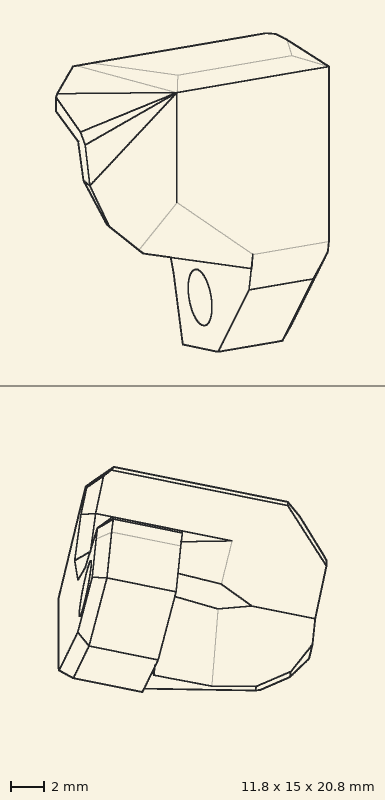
import cadquery as cq
import math

WIDTH = 11.83
DEPTH = 15.0
HEIGHT = 20.75
ARM_THICKNESS = 5.02
ARM_CHAMFER = 0.79
HOLE_DIAMETER = 3.4
HOLE_X = 4.28
HOLE_Z = 3.95
CUTTER_SIZE = 62.28
SIDE_SPACE = (3.11, -0.2, 14.53)

ARM_TOP_INNER = (4.98, 18.1)
ARM_ELBOW = (6.44, 15.53)
ARM_WAIST = (5.6, 10.67)
ARM_FOOT = (1.79, 0.0)
ARM_LOWER_RIGHT = (11.3, 7.0)
ARM_RIGHT = (WIDTH, 9.49)

LIP_X = 2.3
LIP_TOP_Z = 19.37
UNDERSIDE_LIP = (LIP_X, 18.77)
UNDERSIDE_CORNER = (8.5, 17.23)
WALL_INNER_LOW = (11.07, 9.7)
CREST_X = 9.28
SHOULDER = (3.67, 20.01)

APEX = (WIDTH, -10.03, HEIGHT)
FRONT_CREST = (CREST_X, -8.8, HEIGHT)
RIM_SIDE = (3.35, -12.79, 19.87)
RIM_LEFT = (5.2, -14.86, 19.08)
RIM_UPPER = (8.85, -DEPTH, 17.95)
RIM_KNEE = (9.53, -DEPTH, 17.38)
RIM_LOWER = (10.2, -DEPTH, 14.99)
RIM_CHIN = (10.57, -13.89, 12.3)
RIM_BOTTOM = (11.1, -11.92, 10.42)

RIB_STEP_Y = -5.6
RIB_END_Y = -9.13
TOP_RIB_OUTER = (5.45, RIB_STEP_Y, 17.25)
TOP_RIB_INNER = (7.18, RIB_STEP_Y, 16.84)
TOP_RIB_ROOT = (6.0, -ARM_THICKNESS, 16.3)
TOP_RIB_END = (ARM_TOP_INNER[0], RIB_END_Y, ARM_TOP_INNER[1])
WALL_RIB_UPPER = (8.26, RIB_STEP_Y, 15.86)
WALL_RIB_LOWER = (10.71, RIB_STEP_Y, 8.62)
WALL_RIB_ROOT = (7.35, -ARM_THICKNESS, 15.99)
WALL_RIB_END = (8.78, RIB_END_Y, 16.4)


def trim(solid, first, second, third, inside):
    """Keep the side of the plane through three points that holds the inside point."""
    origin = cq.Vector(*first)
    normal = (cq.Vector(*second) - origin).cross(cq.Vector(*third) - origin).normalized()
    if normal.dot(cq.Vector(*inside) - origin) > 0:
        normal = normal * -1
    plane = cq.Plane(origin=origin, normal=normal)
    cutter = cq.Workplane(plane).rect(CUTTER_SIZE, CUTTER_SIZE).extrude(CUTTER_SIZE)
    return solid.cut(cutter)


def along_y(start, end):
    """Three points of the plane that runs parallel to Y through two (x, z) points."""
    return (
        (start[0], 0, start[1]),
        (end[0], 0, end[1]),
        (start[0], -DEPTH, start[1]),
    )


def along_x(start, end):
    """Three points of the plane parallel to X through two points."""
    return start, end, (start[0] + WIDTH, start[1], start[2])


def make_envelope():
    """Faceted convex outside of the head, not yet hollowed."""
    lip_corner = (LIP_X, -11.98, LIP_TOP_Z)
    facets = [
        along_y((CREST_X, HEIGHT), SHOULDER),
        along_y(SHOULDER, (LIP_X, LIP_TOP_Z)),
        ((WIDTH, 0, HEIGHT), (CREST_X, -1.29, HEIGHT), (5.92, 0, 20.3)),
        ((LIP_X, -1.33, LIP_TOP_Z), (4.2, 0, 20.07), (LIP_X, -1.16, UNDERSIDE_LIP[1])),
        (lip_corner, (LIP_X, lip_corner[1], 0), (LIP_X + DEPTH + lip_corner[1], -DEPTH, 0)),
        (APEX, FRONT_CREST, (SHOULDER[0], -11.87, SHOULDER[1])),
        (APEX, RIM_SIDE, RIM_LEFT),
        (APEX, RIM_LEFT, RIM_UPPER),
        (APEX, RIM_UPPER, RIM_KNEE),
        (APEX, RIM_KNEE, RIM_LOWER),
        (APEX, RIM_LOWER, (WIDTH, APEX[1], 0)),
        ((WIDTH, APEX[1], 13.68), (WIDTH, -ARM_THICKNESS, ARM_RIGHT[1]), RIM_BOTTOM),
        along_x(RIM_LOWER, RIM_CHIN),
        along_x(RIM_CHIN, RIM_BOTTOM),
        (RIM_BOTTOM, WALL_RIB_LOWER, (9.96, -ARM_THICKNESS, 8.4)),
    ]
    solid = cq.Workplane("XY").box(WIDTH - LIP_X, DEPTH, HEIGHT, centered=False)
    solid = solid.translate((LIP_X, -DEPTH, 0))
    core = (9.55, -8.3, 17.02)
    for facet in facets:
        solid = trim(solid, *facet, core)
    return solid


def make_hollow():
    """Convex space under the head, in front of the arm."""
    facets = [
        along_y(UNDERSIDE_LIP, UNDERSIDE_CORNER),
        along_y(UNDERSIDE_CORNER, WALL_INNER_LOW),
        (TOP_RIB_OUTER, TOP_RIB_INNER, TOP_RIB_END),
        (TOP_RIB_OUTER, TOP_RIB_INNER, TOP_RIB_ROOT),
        (WALL_RIB_UPPER, WALL_RIB_LOWER, WALL_RIB_END),
        (WALL_RIB_UPPER, WALL_RIB_LOWER, WALL_RIB_ROOT),
        (TOP_RIB_INNER, WALL_RIB_UPPER, WALL_RIB_END),
    ]
    solid = cq.Workplane("XY").box(WIDTH, DEPTH, HEIGHT, centered=False)
    solid = solid.translate((0, -DEPTH - ARM_THICKNESS, 0))
    space = (3.11, -14.53, 8.3)
    for facet in facets:
        solid = trim(solid, *facet, space)
    return solid


def back_chamfer(start, end):
    """Three points of the 45 degree chamfer along an edge.

    The chamfered material lies on the left-hand side when going from start to end.
    """
    length = math.dist(start, end)
    shift_x = -(end[1] - start[1]) / length * ARM_CHAMFER
    shift_z = (end[0] - start[0]) / length * ARM_CHAMFER
    return (
        (start[0], -ARM_CHAMFER, start[1]),
        (end[0], -ARM_CHAMFER, end[1]),
        (start[0] + shift_x, 0, start[1] + shift_z),
    )


def make_upper_space():
    """Block beside the upper arm, to be trimmed to the space under the head."""
    floor = (ARM_ELBOW[1] + ARM_WAIST[1]) / 2
    solid = cq.Workplane("XY").box(WIDTH, DEPTH, HEIGHT - floor, centered=False)
    return solid.translate((0, -DEPTH, floor))


def make_side_clearance():
    """Space under the head on the left of the arm, through the full depth."""
    solid = make_upper_space()
    for facet in [
        along_y(UNDERSIDE_LIP, UNDERSIDE_CORNER),
        along_y(ARM_TOP_INNER, ARM_ELBOW),
        along_y(ARM_ELBOW, ARM_WAIST),
    ]:
        solid = trim(solid, *facet, SIDE_SPACE)
    return solid


def make_side_chamfers():
    """Back chamfers along the underside of the head and the upper arm."""
    solid = make_upper_space()
    for facet in [
        back_chamfer(UNDERSIDE_LIP, UNDERSIDE_CORNER),
        back_chamfer(ARM_TOP_INNER, ARM_ELBOW),
        back_chamfer(ARM_ELBOW, ARM_WAIST),
    ]:
        solid = trim(solid, *facet, SIDE_SPACE)
    return solid.intersect(
        cq.Workplane("XY").box(WIDTH, ARM_CHAMFER, HEIGHT, centered=False)
        .translate((0, -ARM_CHAMFER, 0))
    )


def make_arm():
    """Bent arm with a chamfered back outline and a pivot hole."""
    outline = [
        ARM_TOP_INNER,
        ARM_ELBOW,
        ARM_WAIST,
        (3.74, 7.89),
        (0.19, 5.88),
        (0.0, 5.1),
        (0.45, 4.15),
        ARM_FOOT,
        (6.85, 1.37),
        ARM_LOWER_RIGHT,
        ARM_RIGHT,
        (WIDTH, ARM_TOP_INNER[1]),
    ]
    arm = cq.Workplane("XZ").polyline(outline).close().extrude(ARM_THICKNESS)
    chamfered = [
        edge for edge in arm.faces(">Y").edges().vals()
        if edge.Center().z < ARM_TOP_INNER[1] - 0.02 and edge.Center().x < ARM_LOWER_RIGHT[0]
    ]
    arm = arm.newObject([arm.val().chamfer(ARM_CHAMFER, None, chamfered)])
    hole = (
        cq.Workplane("XZ")
        .center(HOLE_X, HOLE_Z)
        .circle(HOLE_DIAMETER / 2)
        .extrude(ARM_THICKNESS)
    )
    return arm.cut(hole)


head = make_envelope().cut(make_hollow()).cut(make_side_clearance())
arm_zone = (
    cq.Workplane("XY")
    .box(WIDTH, ARM_THICKNESS, ARM_ELBOW[1], centered=False)
    .translate((0, -ARM_THICKNESS, 0))
)
result = head.cut(arm_zone).union(make_arm()).cut(make_side_chamfers())